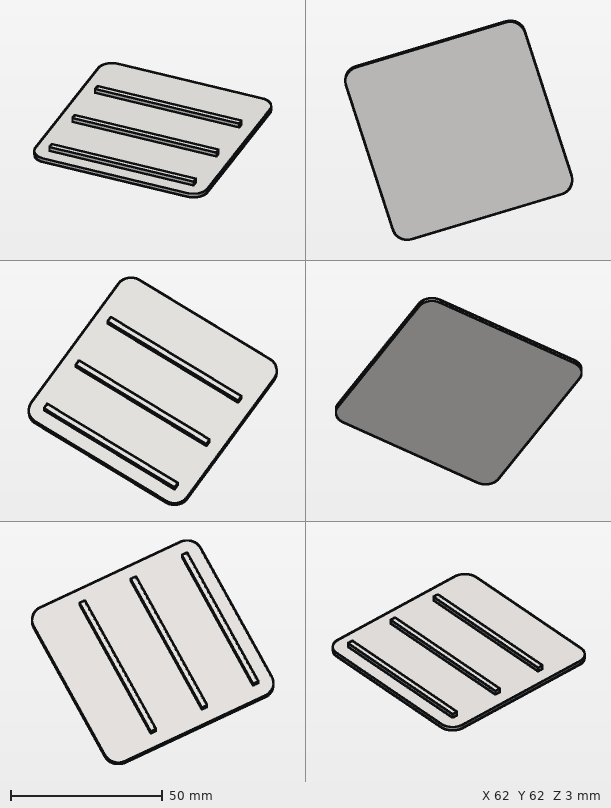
import cadquery as cq

plate_side = 62.0
plate_thickness = 1.5
corner_radius = 5.0

rib_count = 3
rib_width = 2.0
rib_height = 1.5
rib_pitch = 19.0
rib_length = plate_side - 2 * corner_radius

first_rib_y = -plate_side / 2 + corner_radius + rib_width / 2


def make_plate():
    """Square plate with rounded vertical corners, bottom face at Z = 0."""
    plate = cq.Workplane("XY").box(plate_side, plate_side, plate_thickness, centered=(True, True, False))
    return plate.edges("|Z").fillet(corner_radius)


def add_ribs(body):
    """Raise the row of ribs from the top face of the plate."""
    rib_centres = [(0, first_rib_y + i * rib_pitch) for i in range(rib_count)]
    ribs = (
        cq.Workplane("XY", origin=(0, 0, plate_thickness))
        .pushPoints(rib_centres)
        .rect(rib_length, rib_width)
        .extrude(rib_height)
    )
    return body.union(ribs)


result = add_ribs(make_plate())